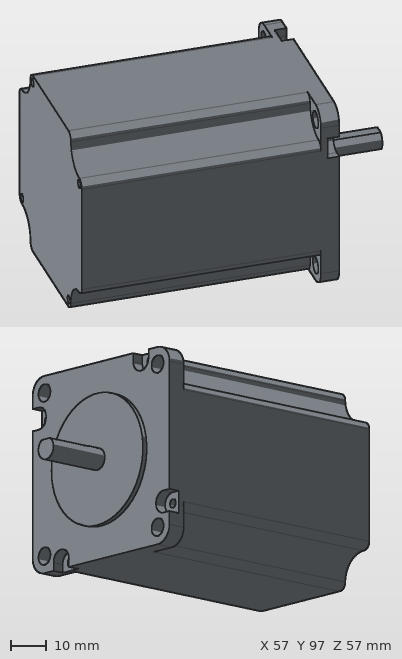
import cadquery as cq

side = 57.0
half = side / 2
total_length = 97.0

flange_back = 70.6
flange_front = 76.0
pilot_front = 77.5

flange_hole_inset = 4.9
flange_hole_diameter = 5.0
flange_corner_radius = flange_hole_inset

edge_round = 2.3
cove_radius = 7.7
cove_depth = edge_round + cove_radius
cove_end = cove_depth + edge_round

screw_hole_diameter = 2.4
screw_head_radius = 3.2
screw_head_depth = 3.5
screw_edge_inset = 2.4
screw_side_inset = 11.9
screw_offset = half - screw_side_inset
screw_edge_offset = half - screw_edge_inset

pilot_diameter = 38.1
shaft_diameter = 6.3
flat_height = 2.7
flat_length = 14.9


def section(y):
    """Sketch plane across the axis: local x is X, local y is Z, extrusion goes to +Y."""
    return cq.Workplane(cq.Plane(origin=(0, y, 0), xDir=(1, 0, 0), normal=(0, -1, 0)))


def cylinder(diameter, start, end):
    return section(start).circle(diameter / 2).extrude(start - end)


def quarter_turns(shape):
    """Yield the shape at each of its four positions around the axis."""
    for turn in range(4):
        yield shape.rotate((0, 0, 0), (0, 1, 0), 90 * turn)


def corner_cove():
    """Cutter for the concave corner at -X, +Z."""
    diagonal = 0.5 ** 0.5

    def point(x_inset, z_inset):
        return (x_inset - half, half - z_inset)

    round_near = edge_round * (1 - diagonal)
    round_far = cove_end - edge_round * diagonal
    cove_middle = edge_round + cove_radius * diagonal
    return (
        section(0)
        .moveTo(*point(0, 0))
        .lineTo(*point(cove_end, 0))
        .threePointArc(point(round_far, round_near), point(cove_depth, edge_round))
        .threePointArc(point(cove_middle, cove_middle), point(edge_round, cove_depth))
        .threePointArc(point(round_near, round_far), point(0, cove_end))
        .close()
        .extrude(-flange_back)
    )


def screw_cut():
    """Through hole with a U-shaped head pocket open to the +Z side."""
    hole = section(0).center(-screw_offset, screw_edge_offset)
    hole = hole.circle(screw_hole_diameter / 2).extrude(-flange_front)
    pocket_back = flange_front - screw_head_depth
    head = section(pocket_back).center(-screw_offset, screw_edge_offset)
    head = head.circle(screw_head_radius).extrude(-screw_head_depth)
    opening = section(pocket_back).center(-screw_offset, half)
    opening = opening.rect(2 * screw_head_radius, 2 * screw_edge_inset).extrude(-screw_head_depth)
    return hole.union(head).union(opening)


body = section(0).rect(side, side).extrude(-flange_front)
body = body.edges("|Y").fillet(flange_corner_radius)

for cutter in (corner_cove(), screw_cut()):
    for placed in quarter_turns(cutter):
        body = body.cut(placed)

hole_spacing = side - 2 * flange_hole_inset
flange_holes = (
    section(0)
    .rect(hole_spacing, hole_spacing, forConstruction=True)
    .vertices()
    .circle(flange_hole_diameter / 2)
    .extrude(-flange_front)
)
body = body.cut(flange_holes)

shaft = cylinder(shaft_diameter, flange_back, total_length)
flat_cut = cq.Workplane("XY").box(
    shaft_diameter, flat_length, shaft_diameter, centered=(True, False, False)
)
shaft = shaft.cut(flat_cut.translate((0, total_length - flat_length, flat_height)))

pilot = cylinder(pilot_diameter, flange_front, pilot_front)
result = body.union(pilot).union(shaft)